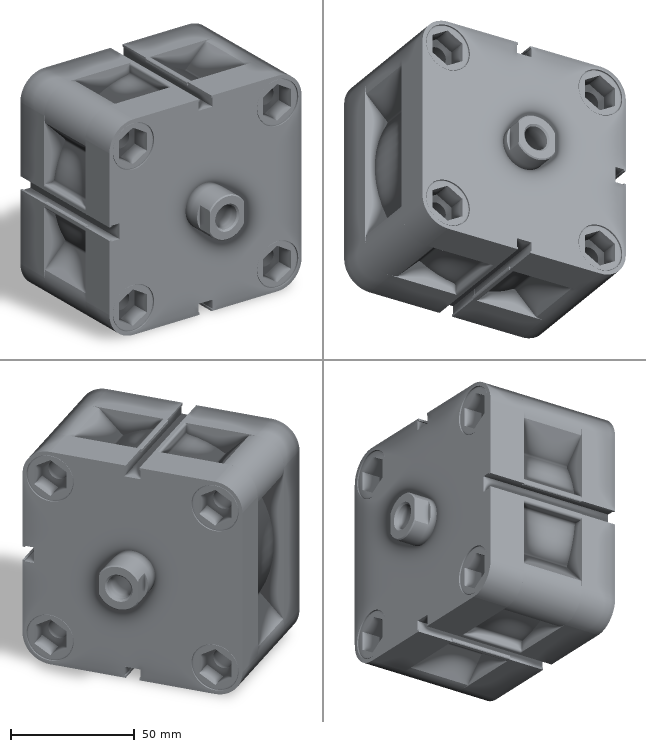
import cadquery as cq
import math


side = 96.0
corner_radius = 12.0
cap_length = 16.5
barrel_length = 28.5
barrel_half = barrel_length / 2
half_side = side / 2

bolt_offset = half_side - corner_radius
bolt_points = [(y, z) for y in (-bolt_offset, bolt_offset) for z in (-bolt_offset, bolt_offset)]
bolt_hole_diameter = 8.5
hex_across_flats = 14.0
hex_depth = 8.8
recess_diameter = 20.6
recess_depth = 0.4
groove_width = 0.4
groove_depth = 0.8

slot_angles = (0, 90, 180)
slot_depth = 5.0
slot_width = 7.0
cap_mouth_width = 6.0
cap_lip = 1.0
barrel_mouth_width = 5.3
barrel_lip = 1.5
mouth_bevel = 0.3

tube_radius = 43.5
arm_width = 20.9
rail_width = 10.8
section_fillet = 1.0

rod_diameter = 20.0
rod_left_reach = 10.0
rod_right_reach = 15.0
rod_chamfer = 0.5
flat_spacing = 17.0
flat_length = 7.0
bore_diameter = 10.6
bore_depth = 19.2
bore_chamfer = 0.8
drill_point_angle = 118.0


def yz_plane(x):
    """Workplane at the given X: local x is Y, local y is Z, normal is +X."""
    return cq.Workplane("YZ", origin=(x, 0, 0))


def bolt_holes(x_start, length):
    """Cylinders at the four bolt stations, for cutting the bolt holes."""
    return yz_plane(x_start).pushPoints(bolt_points).circle(bolt_hole_diameter / 2).extrude(length)


def on_slotted_sides(shape):
    """Copies of a shape modelled on the +Z side, one on each slotted side."""
    return [shape.rotate((0, 0, 0), (1, 0, 0), angle) for angle in slot_angles]


def slot_cutter(x_start, length, mouth_width, lip):
    """T-slot on the +Z side: a narrow mouth over a wider channel."""
    channel_height = slot_depth - lip
    mouth = yz_plane(x_start).center(0, half_side - lip / 2).rect(mouth_width, lip).extrude(length)
    channel_center = half_side - lip - channel_height / 2
    channel = yz_plane(x_start).center(0, channel_center).rect(slot_width, channel_height).extrude(length)
    return mouth.union(channel)


def make_cap():
    """Left end cap, with its outer face toward -X."""
    outer_x = -barrel_half - cap_length
    cap = yz_plane(outer_x).rect(side, side).extrude(cap_length).edges("|X").fillet(corner_radius)
    cap = cap.cut(yz_plane(outer_x).circle(rod_diameter / 2).extrude(cap_length))
    cap = cap.cut(bolt_holes(outer_x, cap_length))

    hex_corner_diameter = hex_across_flats / math.cos(math.radians(30))
    hexagon_plane = yz_plane(outer_x).transformed(rotate=(0, 0, 90))
    hexagon = hexagon_plane.polygon(6, hex_corner_diameter).extrude(hex_depth)
    recess_radius = recess_diameter / 2
    recess = yz_plane(outer_x).circle(recess_radius).extrude(recess_depth)
    groove_ring = yz_plane(outer_x).circle(recess_radius).circle(recess_radius - groove_width)
    groove = groove_ring.extrude(groove_depth)
    socket = recess.union(groove).union(hexagon)
    for y, z in bolt_points:
        cap = cap.cut(socket.translate((0, y, z)))

    for slot in on_slotted_sides(slot_cutter(outer_x, cap_length, cap_mouth_width, cap_lip)):
        cap = cap.cut(slot)
    return cap


def make_barrel():
    """Round tube wall with four diagonal arms for the bolts and a slotted rail on three sides."""
    start = -barrel_half
    barrel = yz_plane(start).transformed(rotate=(0, 0, 45)).circle(tube_radius).extrude(barrel_length)

    bolt_diagonal = bolt_offset * math.sqrt(2)
    for diagonal in (45, 135):
        diagonal_plane = yz_plane(start).transformed(rotate=(0, 0, diagonal))
        arm = diagonal_plane.rect(2 * bolt_diagonal, arm_width).extrude(barrel_length)
        endless_arm = diagonal_plane.rect(2 * side, arm_width).extrude(barrel_length)
        end_points = [(-bolt_diagonal, 0), (bolt_diagonal, 0)]
        round_ends = diagonal_plane.pushPoints(end_points).circle(corner_radius).extrude(barrel_length)
        barrel = barrel.union(arm).union(round_ends.intersect(endless_arm))

    rail = yz_plane(start).center(0, half_side / 2).rect(rail_width, half_side).extrude(barrel_length)
    rail = rail.edges("|X and >Z").fillet(section_fillet)
    for side_rail in on_slotted_sides(rail):
        barrel = barrel.union(side_rail)

    tolerance = 0.01
    inside_corners = [
        edge
        for edge in barrel.edges("|X").vals()
        if abs(math.hypot(edge.Center().y, edge.Center().z) - tube_radius) < tolerance
    ]
    barrel = barrel.newObject(inside_corners).fillet(section_fillet)

    mouth_half = barrel_mouth_width / 2
    bevel = (
        yz_plane(start)
        .moveTo(-mouth_half - mouth_bevel, half_side)
        .lineTo(mouth_half + mouth_bevel, half_side)
        .lineTo(mouth_half, half_side - mouth_bevel)
        .lineTo(-mouth_half, half_side - mouth_bevel)
        .close()
        .extrude(barrel_length)
    )
    slot = slot_cutter(start, barrel_length, barrel_mouth_width, barrel_lip).union(bevel)
    for side_slot in on_slotted_sides(slot):
        barrel = barrel.cut(side_slot)

    barrel = barrel.cut(yz_plane(start).circle(rod_diameter / 2).extrude(barrel_length))
    return barrel.cut(bolt_holes(start, barrel_length))


def bore_cutter():
    """Blind drilled hole with a countersunk mouth at X = 0 and a conical bottom, going toward +X."""
    radius = bore_diameter / 2
    point_length = radius / math.tan(math.radians(drill_point_angle / 2))
    return (
        cq.Workplane("XY")
        .lineTo(0, radius + bore_chamfer)
        .lineTo(bore_chamfer, radius)
        .lineTo(bore_depth, radius)
        .lineTo(bore_depth + point_length, 0)
        .close()
        .revolve(360, (0, 0, 0), (1, 0, 0))
    )


def make_rod():
    """Through rod with wrench flats facing -Y and +Y and a blind bore at each end."""
    left_end = -barrel_half - cap_length - rod_left_reach
    right_end = barrel_half + cap_length + rod_right_reach
    rod = yz_plane(left_end).circle(rod_diameter / 2).extrude(right_end - left_end)
    rod = rod.faces("<X or >X").chamfer(rod_chamfer)

    flat_cut = (rod_diameter - flat_spacing) / 2
    for x in (left_end + flat_length / 2, right_end - flat_length / 2):
        for direction in (-1, 1):
            y = direction * (flat_spacing + flat_cut) / 2
            rod = rod.cut(cq.Workplane("XY").box(flat_length, flat_cut, rod_diameter).translate((x, y, 0)))

    bore = bore_cutter()
    rod = rod.cut(bore.translate((left_end, 0, 0)))
    return rod.cut(bore.mirror("YZ").translate((right_end, 0, 0)))


left_cap = make_cap()
right_cap = left_cap.mirror("YZ")
barrel = make_barrel()
rod = make_rod()

result = cq.Compound.makeCompound([left_cap.val(), right_cap.val(), barrel.val(), rod.val()])